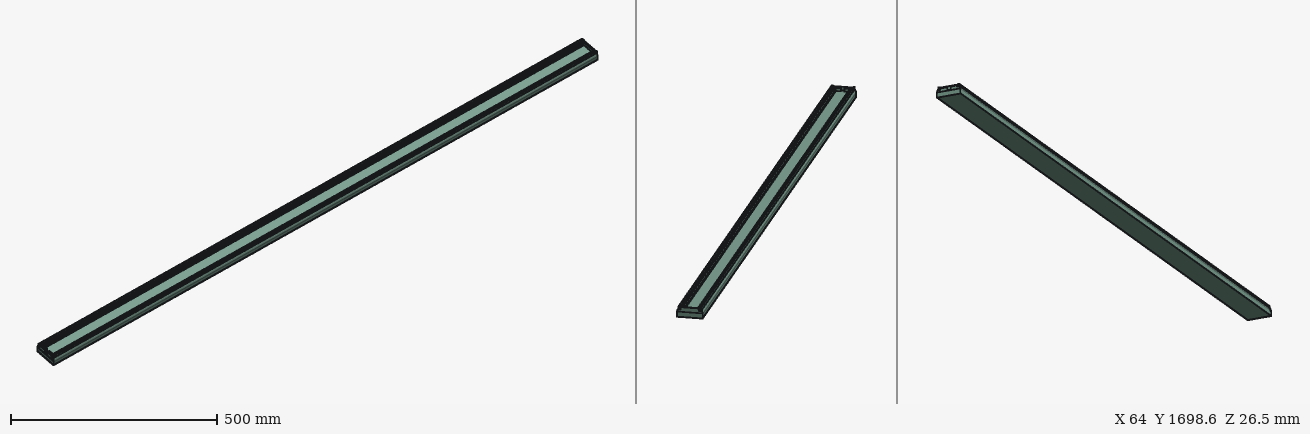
import cadquery as cq

WIDTH = 64.0
HEIGHT = 26.51
OVERALL_LENGTH = 1698.6

BODY_LENGTH = 1692.0

PLATE_THICKNESS = 0.8
BASE_CLEARANCE = 0.6

SIDE_HEIGHT = 13.5
SHOULDER_HEIGHT = 21.0
SHOULDER_RADIUS = 16.0

LIP_OUTER_X = 28.9
LIP_THICKNESS = 3.0

UPPER_LEDGE_HEIGHT = 20.9
LOWER_LEDGE_HEIGHT = 19.9
LEDGE_STEP_X = 21.8
FLOOR_HEIGHT = 15.5
FLOOR_HALF_WIDTH = 16.2

REAR_WALL_THICKNESS = 4.0
FRONT_WALL_THICKNESS = 3.0
FRONT_BLOCK_LENGTH = 8.0
FRONT_BLOCK_HEIGHT = 23.0
NOTCH_WIDTH = 9.0
NOTCH_SKIN = 1.0

PIN_DIAMETER = 5.0
PIN_X = 25.0
PIN_HEIGHT = 21.0

HALF_WIDTH = WIDTH / 2
HALF_BODY = BODY_LENGTH / 2
LIP_RADIUS = LIP_THICKNESS / 2
LIP_MID_X = LIP_OUTER_X - LIP_RADIUS
LIP_INNER_X = LIP_OUTER_X - LIP_THICKNESS
LIP_SPRING_HEIGHT = HEIGHT - LIP_RADIUS
PIN_RADIUS = PIN_DIAMETER / 2
PIN_LENGTH = OVERALL_LENGTH / 2 - HALF_BODY


def half_profile():
    """Right half of the section, extruded over the body length."""
    return (
        cq.Workplane("XZ")
        .moveTo(0, BASE_CLEARANCE)
        .lineTo(HALF_WIDTH, BASE_CLEARANCE)
        .lineTo(HALF_WIDTH, SIDE_HEIGHT)
        .radiusArc((LIP_OUTER_X, SHOULDER_HEIGHT), -SHOULDER_RADIUS)
        .lineTo(LIP_OUTER_X, LIP_SPRING_HEIGHT)
        .threePointArc((LIP_MID_X, HEIGHT), (LIP_INNER_X, LIP_SPRING_HEIGHT))
        .lineTo(LIP_INNER_X, UPPER_LEDGE_HEIGHT)
        .lineTo(LEDGE_STEP_X, UPPER_LEDGE_HEIGHT)
        .lineTo(LEDGE_STEP_X, LOWER_LEDGE_HEIGHT)
        .lineTo(FLOOR_HALF_WIDTH, LOWER_LEDGE_HEIGHT)
        .lineTo(FLOOR_HALF_WIDTH, FLOOR_HEIGHT)
        .lineTo(0, FLOOR_HEIGHT)
        .close()
        .extrude(HALF_BODY, both=True)
    )


def profile():
    right_half = half_profile()
    return right_half.union(right_half.mirror("YZ"))


def channel_block(width, y_min, y_max, top):
    """Box centred across the channel, from its floor up to a given height."""
    return (
        cq.Workplane("XY")
        .box(width, y_max - y_min, top - FLOOR_HEIGHT, centered=(True, False, False))
        .translate((0, y_min, FLOOR_HEIGHT))
    )


def rear_wall():
    return channel_block(2 * LIP_INNER_X, HALF_BODY - REAR_WALL_THICKNESS, HALF_BODY, LIP_SPRING_HEIGHT)


def front_wall():
    """Full wall with a lower block behind it, notched in the middle down to the floor."""
    width = 2 * LIP_INNER_X
    wall = channel_block(width, -HALF_BODY, FRONT_WALL_THICKNESS - HALF_BODY, LIP_SPRING_HEIGHT)
    block_end = FRONT_BLOCK_LENGTH - HALF_BODY
    block = channel_block(width, -HALF_BODY, block_end, FRONT_BLOCK_HEIGHT)
    notch = channel_block(NOTCH_WIDTH, NOTCH_SKIN - HALF_BODY, block_end, HEIGHT)
    return wall.union(block).cut(notch)


def front_plate():
    """Plate over the lower part of the front end face."""
    return (
        cq.Workplane("XY")
        .box(WIDTH, PLATE_THICKNESS, SIDE_HEIGHT, centered=(True, False, False))
        .translate((0, -HALF_BODY - PLATE_THICKNESS, 0))
    )


def front_pin(x):
    """Round pin with a hemispherical tip, standing on the front end face."""
    pin = (
        cq.Workplane("XZ", origin=(x, -HALF_BODY, PIN_HEIGHT))
        .circle(PIN_RADIUS)
        .extrude(PIN_LENGTH - PIN_RADIUS)
    )
    tip_centre_y = PIN_RADIUS - OVERALL_LENGTH / 2
    tip = cq.Workplane("XY").sphere(PIN_RADIUS).translate((x, tip_centre_y, PIN_HEIGHT))
    return pin.union(tip)


result = profile().union(rear_wall()).union(front_wall())
end_fittings = [front_plate(), front_pin(-PIN_X), front_pin(PIN_X)]
for fitting in end_fittings:
    result = result.union(fitting).union(fitting.mirror("XZ"))